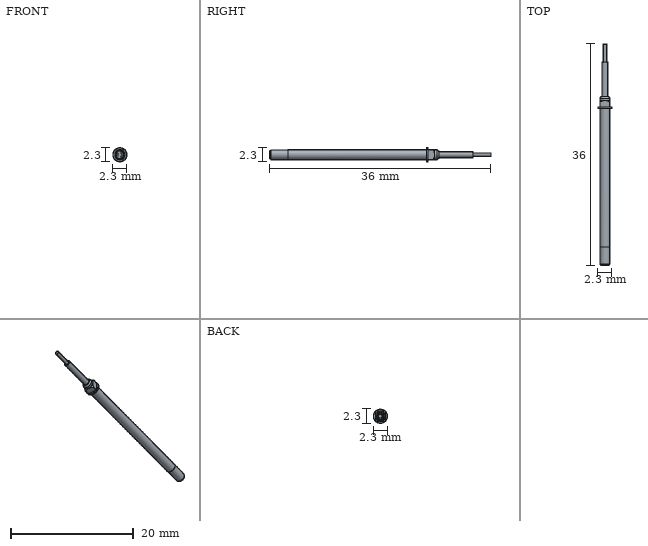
import cadquery as cq

length = 36.0
flange_diameter = 2.3
flange_thickness = 0.25

barrel_diameter = 1.65
tip_length = 3.0
tip_diameter = 1.62
tip_chamfer_length = 0.25
tip_chamfer_depth = 0.18

wire_length = 2.95
sleeve_end = 8.5
square_start = 9.18
flange_end = 10.48

wire_diameter = 0.6
sleeve_diameter = 1.0

square_width = 1.65
corner_diameter = flange_diameter
cone_length = 0.2

collar_diameter = square_width
collar_chamfer_length = 0.32
collar_chamfer_depth = 0.2

free_end = -length / 2
wire_end = length / 2
tip_joint = free_end + tip_length
flange_back = wire_end - flange_end
flange_front = flange_back + flange_thickness
square_front = wire_end - square_start
collar_front = wire_end - sleeve_end
sleeve_front = wire_end - wire_length


def rod(diameter, start, end):
    """Round bar on the Y axis between two stations."""
    return (
        cq.Workplane("XZ", origin=(0, start, 0))
        .circle(diameter / 2)
        .extrude(start - end)
    )


def cone_frustum(start_diameter, start, end_diameter, end):
    """Tapered round bar on the Y axis between two stations."""
    return (
        cq.Workplane("XY")
        .moveTo(0, start)
        .lineTo(start_diameter / 2, start)
        .lineTo(end_diameter / 2, end)
        .lineTo(0, end)
        .close()
        .revolve(360, (0, 0, 0), (0, 1, 0))
    )


def make_tip():
    chamfer_end = free_end + tip_chamfer_length
    face_diameter = tip_diameter - 2 * tip_chamfer_depth
    chamfer = cone_frustum(face_diameter, free_end, tip_diameter, chamfer_end)
    return rod(tip_diameter, chamfer_end, tip_joint).union(chamfer)


def make_collar():
    chamfer_start = collar_front - collar_chamfer_length
    face_diameter = collar_diameter - 2 * collar_chamfer_depth
    chamfer = cone_frustum(collar_diameter, chamfer_start, face_diameter, collar_front)
    return rod(collar_diameter, square_front, chamfer_start).union(chamfer)


def make_square():
    block = (
        cq.Workplane("XZ", origin=(0, flange_front, 0))
        .rect(square_width, square_width)
        .extrude(flange_front - square_front)
    )
    cone_start = square_front - cone_length
    cone = cone_frustum(corner_diameter, cone_start, square_width, square_front)
    envelope = rod(corner_diameter, flange_front, cone_start).union(cone)
    return block.intersect(envelope)


result = (
    rod(barrel_diameter, tip_joint, flange_back)
    .union(make_tip())
    .union(rod(flange_diameter, flange_back, flange_front))
    .union(make_square())
    .union(make_collar())
    .union(rod(sleeve_diameter, collar_front, sleeve_front))
    .union(rod(wire_diameter, sleeve_front, wire_end))
)